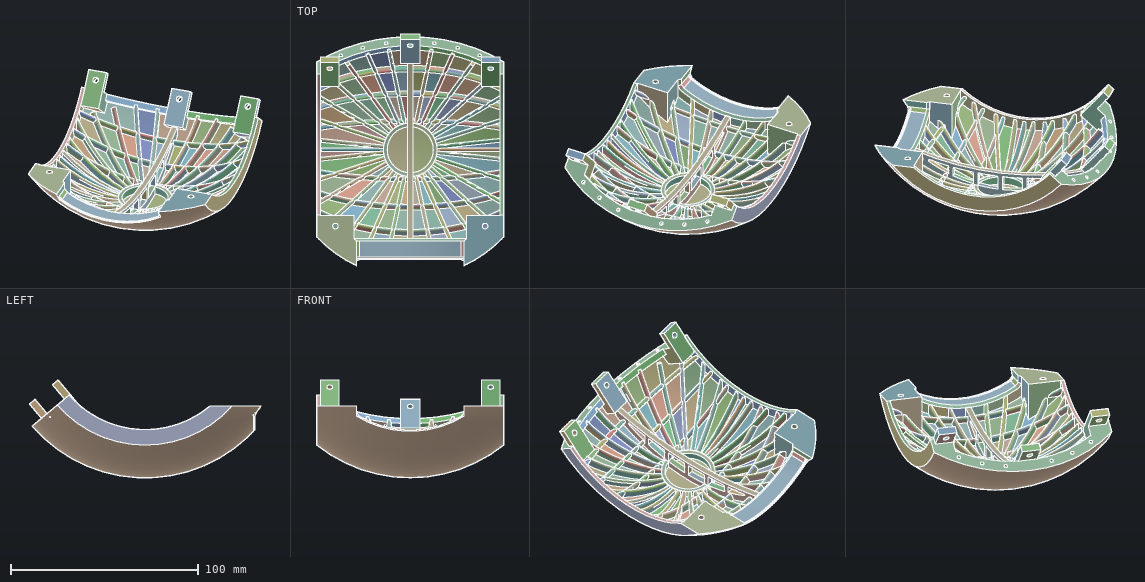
import cadquery as cq
import math

OUTER_RADIUS = 79.8
INNER_RADIUS = 77.0
SPOKE_TOP_RADIUS = 73.0
HOOP_TOP_RADIUS = 73.15
RIM_INNER_RADIUS = 73.5
HALF_WIDTH = 50.0
BIG = 2 * OUTER_RADIUS

REAR_SLOPE = 40.0
REAR_FACE = -1.0
REAR_RIM_DEPTH = 3.6
RIM_HOLE_DIAMETER = 1.8
RIM_HOLE_DEPTH = 3.0
RIM_HOLE_CIRCLE_RADIUS = 76.4
RIM_HOLE_PITCH = 9.7
RIM_HOLES_PER_SIDE = 3

PLATE_THICKNESS = 2.0
PLATE_INNER_RADIUS = 53.9

PAD_TOP = -41.2
PAD_REAR = -35.2
PAD_INNER_X = 30.0
PAD_HOLE_DIAMETER = 3.0
PAD_HOLE_DEPTH = 10.0
PAD_HOLE_X = 40.0
PAD_HOLE_Y = -40.8
WALL_BACK = -47.5
WALL_FRONT = -58.0

OPENING_HALF_WIDTH = 28.7
OPENING_RADIUS = 54.1
OPENING_FLAT_HALF_WIDTH = 27.1
OPENING_CORNER_Z = -44.9
OPENING_CHAMFER = 1.4
LIP_BEVEL = 0.6

RIB_THICKNESS = 2.0
RIB_SWEEP = 50.0
SPINE_DIRECTIONS = (90, 270)
SPOKE_PITCH = 12.0
FRONT_HOOP_PITCH = 12.0
REAR_HOOP_PITCH = 11.7
HOOPS_PER_SIDE = 3
RING_TOP_RADIUS = 72.8
RING_OUTER_RADIUS = 14.3
RING_INNER_RADIUS = RING_OUTER_RADIUS - RIB_THICKNESS

SPINE_THICKNESS = 3.0
SPINE_MID_TOP = -62.8
SPINE_END_TOP = -54.9
SPINE_END_Y = 48.5
WINDOW_COUNT = 6
WINDOW_BOTTOM_RADIUS = 72.5
WINDOW_PITCH = 13.6
WINDOW_POST = 2.5
WINDOW_FRAME = 2.0
WINDOW_CORNER = 0.6

TAB_THICKNESS = 4.0
TAB_REACH = 10.0
TAB_HOLE_DIAMETER = 3.0
MID_TAB_WIDTH = 10.5
MID_TAB_INNER = 69.3
SIDE_TAB_WIDTH = 10.0
SIDE_TAB_INNER = 53.25
SIDE_TAB_X = HALF_WIDTH - PLATE_THICKNESS - SIDE_TAB_WIDTH / 2


def block(x_range, y_range, z_range):
    """Axis-aligned box between the given limits."""
    size = [high - low for low, high in (x_range, y_range, z_range)]
    corner = (x_range[0], y_range[0], z_range[0])
    return cq.Workplane("XY").box(*size, centered=False).translate(corner)


def ball(radius):
    """Sphere with its poles on the X axis and its seam towards +Z."""
    plane = cq.Plane(origin=(0, 0, 0), xDir=(0, 0, 1), normal=(1, 0, 0))
    return cq.Workplane(plane).sphere(radius)


def to_rear(body):
    """Tilt a body built with Y outward and Z along the normal onto the rear face."""
    return body.rotate((0, 0, 0), (1, 0, 0), -REAR_SLOPE)


def envelope(half_width, rear_level):
    """Region bounded by the side planes, the sloping rear plane and, in front, the pad-top plane."""
    front = block((-half_width, half_width), (-BIG, 0), (-BIG, PAD_TOP))
    rear = block((-half_width, half_width), (0, BIG), (-BIG, 0))
    above_rear = to_rear(block((-BIG, BIG), (-BIG, BIG), (rear_level, BIG)))
    return front.union(rear).cut(above_rear)


def shell():
    """Outer wall of the bowl."""
    return ball(OUTER_RADIUS).cut(ball(INNER_RADIUS)).intersect(envelope(HALF_WIDTH, REAR_FACE))


def rear_rim():
    """Thicker band along the sloping rear edge."""
    x_range = (-HALF_WIDTH, HALF_WIDTH)
    band = to_rear(block(x_range, (0, BIG), (REAR_FACE - REAR_RIM_DEPTH, REAR_FACE)))
    return band.intersect(ball(OUTER_RADIUS)).cut(ball(RIM_INNER_RADIUS))


def side_plate(side):
    """Flat plate closing one side of the bowl."""
    centre_x = side * (HALF_WIDTH - PLATE_THICKNESS / 2)
    plate = (
        cq.Workplane("YZ")
        .circle(OUTER_RADIUS)
        .circle(PLATE_INNER_RADIUS)
        .extrude(PLATE_THICKNESS / 2, both=True)
        .translate((centre_x, 0, 0))
    )
    return plate.intersect(envelope(HALF_WIDTH, REAR_FACE)).intersect(ball(OUTER_RADIUS))


def front_wall_and_pads():
    """Solid front wall with a pad at each front corner."""
    body = block((-HALF_WIDTH, HALF_WIDTH), (-BIG, WALL_BACK), (-BIG, PAD_TOP))
    body = body.cut(block((-OPENING_HALF_WIDTH, OPENING_HALF_WIDTH), (-BIG, WALL_FRONT), (-BIG, 0)))
    for x_range in ((-HALF_WIDTH, -PAD_INNER_X), (PAD_INNER_X, HALF_WIDTH)):
        body = body.union(block(x_range, (-BIG, PAD_REAR), (-BIG, PAD_TOP)))
    return body.intersect(ball(OUTER_RADIUS))


def opening_outline(y, growth):
    """Outline of the front opening at a given Y, grown outwards by an offset."""
    radius = OPENING_RADIUS + growth
    wide = OPENING_HALF_WIDTH + growth
    flat = OPENING_FLAT_HALF_WIDTH + growth
    flat_z = -math.sqrt(radius**2 - flat**2)
    corner_z = OPENING_CORNER_Z - growth / 2
    return (
        cq.Workplane("XZ", origin=(0, y, 0))
        .moveTo(-wide, 0)
        .lineTo(-wide, corner_z)
        .lineTo(-flat, flat_z)
        .threePointArc((0, -radius), (flat, flat_z))
        .lineTo(wide, corner_z)
        .lineTo(wide, 0)
        .close()
    )


def lip_bevel():
    """Conical cutter that slopes the front edge of the lip, coaxial with Y."""
    edge_radius = math.sqrt(OUTER_RADIUS**2 - WALL_FRONT**2)
    cone = cq.Solid.makeCone(edge_radius, OPENING_RADIUS, LIP_BEVEL, (0, WALL_FRONT, 0), (0, 1, 0))
    x_range = (-OPENING_HALF_WIDTH, OPENING_HALF_WIDTH)
    return block(x_range, (-BIG, 0), (-BIG, 0)).intersect(cq.Workplane(obj=cone))


def front_opening():
    """Cutter for the front opening, with a chamfer on its inner edge."""
    chamfer_front = WALL_BACK - OPENING_CHAMFER
    straight = opening_outline(WALL_BACK, 0).extrude(BIG)
    wide_wire = opening_outline(WALL_BACK, OPENING_CHAMFER).wire().val()
    narrow_wire = opening_outline(chamfer_front, 0).wire().val()
    chamfer = cq.Workplane(obj=cq.Solid.makeLoft([wide_wire, narrow_wire], True))
    return straight.union(chamfer).union(lip_bevel())


def embedded_radius():
    """Radius inside the shell's thickness where the ribs are rooted."""
    return (INNER_RADIUS + OUTER_RADIUS) / 2


def rib_arc(top_radius, start, sweep):
    """Round-topped rib in the XZ plane, swept about the Y axis from an angle off -Z."""
    half = RIB_THICKNESS / 2
    shoulder = -(top_radius + half)
    root = -embedded_radius()
    rib = (
        cq.Workplane("YZ")
        .moveTo(-half, root)
        .lineTo(-half, shoulder)
        .threePointArc((0, -top_radius), (half, shoulder))
        .lineTo(half, root)
        .close()
        .revolve(sweep, (0, 0, 0), (1, 0, 0))
    )
    return rib.rotate((0, 0, 0), (0, 1, 0), start)


def spokes():
    """Ribs radiating from the central ring, except where the spine runs."""
    ring_middle = (RING_OUTER_RADIUS + RING_INNER_RADIUS) / 2
    start = math.degrees(math.asin(ring_middle / INNER_RADIUS))
    arm = rib_arc(SPOKE_TOP_RADIUS, start, RIB_SWEEP - start)
    angles = [SPINE_DIRECTIONS[0] + index * SPOKE_PITCH for index in range(round(360 / SPOKE_PITCH))]
    return [arm.rotate((0, 0, 0), (0, 0, 1), angle) for angle in angles if angle not in SPINE_DIRECTIONS]


def hoops():
    """Ribs lying in planes through the X axis."""
    hoop = rib_arc(HOOP_TOP_RADIUS, -RIB_SWEEP, 2 * RIB_SWEEP)
    tilts = [0]
    for step in range(1, HOOPS_PER_SIDE + 1):
        tilts += [-step * FRONT_HOOP_PITCH, step * REAR_HOOP_PITCH]
    core = cq.Workplane("XY").circle(RING_INNER_RADIUS).extrude(-BIG)
    return [hoop.rotate((0, 0, 0), (1, 0, 0), tilt).cut(core) for tilt in tilts]


def ring():
    """Circular rib around the bottom of the bowl."""
    wall = cq.Workplane("XY").circle(RING_OUTER_RADIUS).circle(RING_INNER_RADIUS).extrude(-BIG)
    return wall.intersect(ball(embedded_radius())).cut(ball(RING_TOP_RADIUS))


def ribs():
    """Lattice of ribs standing on the inner surface, trimmed inside the walls."""
    region = envelope(HALF_WIDTH - PLATE_THICKNESS / 2, REAR_FACE - REAR_RIM_DEPTH / 2)
    region = region.intersect(block((-BIG, BIG), (WALL_BACK, BIG), (-BIG, 0)))
    trimmed = [rib.intersect(region).val() for rib in spokes() + hoops()]
    return cq.Workplane(obj=ring().val().fuse(*trimmed))


def spine_profile(y_limit, drop):
    """Area under the spine's upper arc, between the end limits."""
    return (
        cq.Workplane("YZ")
        .moveTo(-y_limit, SPINE_END_TOP - drop)
        .threePointArc((0, SPINE_MID_TOP - drop), (y_limit, SPINE_END_TOP - drop))
        .lineTo(y_limit, -OUTER_RADIUS)
        .lineTo(-y_limit, -OUTER_RADIUS)
        .close()
        .extrude(SPINE_THICKNESS / 2, both=True)
    )


def spine():
    """Central rib along Y with windows between its posts."""
    body = spine_profile(SPINE_END_Y, 0).intersect(ball(embedded_radius()))
    window_area = spine_profile(SPINE_END_Y, WINDOW_FRAME).intersect(ball(WINDOW_BOTTOM_RADIUS))
    half_window = (WINDOW_PITCH - WINDOW_POST) / 2
    for index in range(WINDOW_COUNT):
        centre = (index - (WINDOW_COUNT - 1) / 2) * WINDOW_PITCH
        y_range = (centre - half_window, centre + half_window)
        window = window_area.intersect(block((-BIG, BIG), y_range, (-BIG, 0)))
        body = body.cut(window.edges("|X").fillet(WINDOW_CORNER))
    front_limit = block((-BIG, BIG), (WALL_BACK - OPENING_CHAMFER, BIG), (-BIG, 0))
    return body.intersect(front_limit)


def tab(centre_x, width, inner):
    """Rear tab with a root that runs out to the shell."""
    x_range = (centre_x - width / 2, centre_x + width / 2)
    bottom = REAR_FACE - TAB_REACH
    top = REAR_FACE + TAB_REACH
    root = to_rear(block(x_range, (inner, BIG), (bottom, REAR_FACE))).intersect(ball(OUTER_RADIUS))
    plate = block(x_range, (inner, inner + TAB_THICKNESS), (bottom, top))
    hole = (
        cq.Workplane("XZ", origin=(centre_x, 0, REAR_FACE + TAB_REACH / 2))
        .circle(TAB_HOLE_DIAMETER / 2)
        .extrude(-BIG)
    )
    return root.union(to_rear(plate.cut(hole)))


def rim_holes():
    """Blind holes in the sloping rear face, either side of the middle tab."""
    holes = cq.Workplane("XY", origin=(0, 0, REAR_FACE))
    points = []
    for index in range(1, RIM_HOLES_PER_SIDE + 1):
        angle = math.radians(index * RIM_HOLE_PITCH)
        x = RIM_HOLE_CIRCLE_RADIUS * math.sin(angle)
        outward = RIM_HOLE_CIRCLE_RADIUS * math.cos(angle)
        points += [(-x, outward), (x, outward)]
    return to_rear(holes.pushPoints(points).circle(RIM_HOLE_DIAMETER / 2).extrude(-RIM_HOLE_DEPTH))


def pad_holes():
    """Blind vertical holes in the two corner pads."""
    return (
        cq.Workplane("XY", origin=(0, 0, PAD_TOP))
        .pushPoints([(-PAD_HOLE_X, PAD_HOLE_Y), (PAD_HOLE_X, PAD_HOLE_Y)])
        .circle(PAD_HOLE_DIAMETER / 2)
        .extrude(-PAD_HOLE_DEPTH)
    )


result = shell().union(rear_rim())
result = result.union(side_plate(-1)).union(side_plate(1))
result = result.union(front_wall_and_pads())
result = result.union(ribs()).union(spine())
result = result.cut(front_opening())
result = result.union(tab(0, MID_TAB_WIDTH, MID_TAB_INNER))
for tab_side in (-1, 1):
    result = result.union(tab(tab_side * SIDE_TAB_X, SIDE_TAB_WIDTH, SIDE_TAB_INNER))
result = result.cut(rim_holes()).cut(pad_holes())